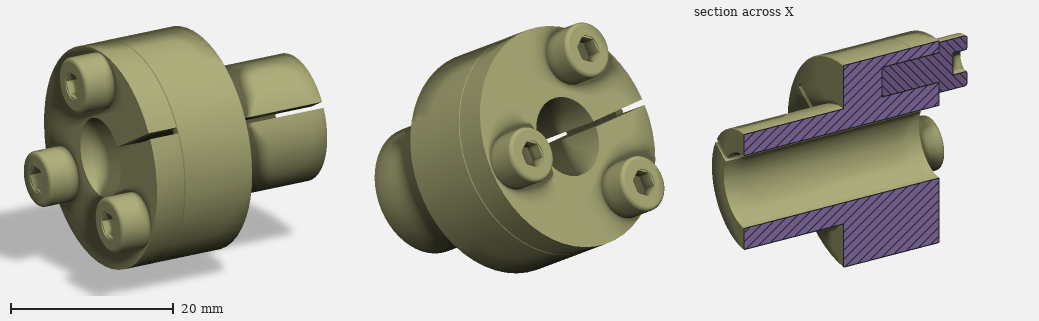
import cadquery as cq
import math

total_length = 31.5
outer_diameter = 28.0
hub_diameter = 16.0
bore_diameter = 10.02
hub_length = 14.0
flange_thickness = 4.0
edge_chamfer = 0.1

slit_width = 0.75
slit_angle = 30.0
slit_inner_reach = 12.65

screw_count = 3
first_screw_angle = 90.0
screw_circle_radius = 10.27
head_diameter = 7.0
head_height = 4.0
head_fillet = 0.5
socket_diameter = 3.5
socket_flats = 3.0
socket_depth = 2.02
socket_lead_in = 0.13
shank_diameter = 4.0
shank_length = 8.0

front_face = 0.0
back_end = total_length - head_height
collar_back = back_end - hub_length
flange_back = flange_thickness


def cylinder(diameter, start, end):
    """Solid cylinder along +Y between two Y stations."""
    plane = cq.Workplane("XZ", origin=(0, start, 0))
    return plane.circle(diameter / 2).extrude(start - end)


def slit(reach, end):
    """Radial cutter from the axis out to the given radius, from the front face back to a Y station."""
    length = end - front_face
    cutter = cq.Workplane("XY").box(reach, length, slit_width, centered=(False, False, True))
    return cutter.rotate((0, 0, 0), (0, 1, 0), -slit_angle).translate((0, front_face, 0))


def screw_positions():
    """X, Z centres of the screws, evenly spaced round the axis."""
    angles = [math.radians(first_screw_angle + i * 360 / screw_count) for i in range(screw_count)]
    return [(screw_circle_radius * math.cos(a), screw_circle_radius * math.sin(a)) for a in angles]


def make_clamp():
    flange = cylinder(outer_diameter, front_face, flange_back).faces(">Y").edges().chamfer(edge_chamfer)
    collar = cylinder(outer_diameter, flange_back, collar_back).edges().chamfer(edge_chamfer)
    hub = cylinder(hub_diameter, collar_back, back_end)
    clamp = flange.union(collar).union(hub)

    clamp = clamp.cut(cylinder(bore_diameter, front_face, back_end))
    clamp = clamp.cut(slit(slit_inner_reach, back_end))
    clamp = clamp.cut(slit(outer_diameter, flange_back))

    for x, z in screw_positions():
        hole = cylinder(shank_diameter, front_face, shank_length)
        clamp = clamp.cut(hole.translate((x, 0, z)))
    return clamp


def make_screw(x, z):
    head = cylinder(head_diameter, -head_height, front_face).faces("<Y").edges().fillet(head_fillet)
    screw = head.union(cylinder(shank_diameter, front_face, shank_length))

    socket_corners = socket_flats / math.cos(math.pi / 6)
    mouth = cq.Workplane("XZ", origin=(0, -head_height, 0))
    screw = screw.cut(mouth.polygon(6, socket_corners).extrude(-socket_depth))
    screw = screw.cut(cylinder(socket_diameter, -head_height, -head_height + socket_lead_in))
    return screw.translate((x, 0, z))


clamp = make_clamp()
screws = [make_screw(x, z) for x, z in screw_positions()]

result = cq.Compound.makeCompound([clamp.val(), *[screw.val() for screw in screws]])